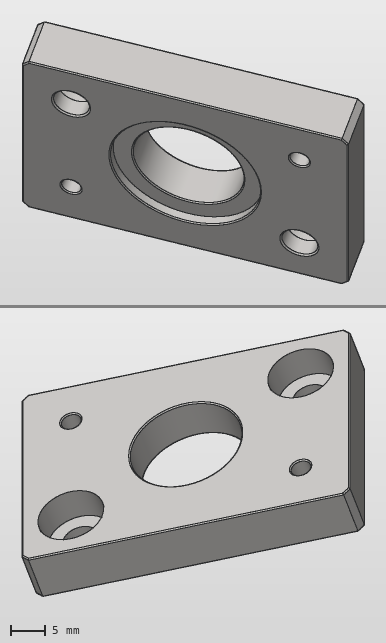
import cadquery as cq

width = 50
thickness = 8
height = 35
corner_chamfer = 1
edge_chamfer = 0.2

bore_diameter = 17
recess_diameter = 23
recess_depth = 1.5

hole_spacing_x = 35
hole_spacing_z = 20
bolt_diameter = 5.5
bolt_chamfer = 0.25
bolt_head_diameter = 10
bolt_head_depth = 5.2
pin_diameter = 3
hole_x = hole_spacing_x / 2
hole_z = hole_spacing_z / 2
bolt_places = [(-hole_x, hole_z), (hole_x, -hole_z)]
pin_places = [(hole_x, hole_z), (-hole_x, -hole_z)]

front_y = -thickness / 2
back_y = thickness / 2


def make_plate():
    """Block with clipped corners and a fine chamfer around both large faces."""
    block = cq.Workplane("XY").box(width, thickness, height)
    block = block.edges("|Y").chamfer(corner_chamfer)
    return block.faces("<Y or >Y").edges().chamfer(edge_chamfer)


def chamfered_hole(x, z, diameter, start_y, end_y, chamfer=edge_chamfer):
    """Cutter from start_y to end_y that widens by the chamfer at both ends."""
    radius = diameter / 2
    wide = radius + chamfer
    profile = [
        (0, start_y),
        (wide, start_y),
        (radius, start_y + chamfer),
        (radius, end_y - chamfer),
        (wide, end_y),
        (0, end_y),
    ]
    cutter = cq.Workplane("XY").polyline(profile).close().revolve(360, (0, 0), (0, 1))
    return cutter.translate((x, 0, z))


def make_recess():
    """Flat-bottomed cutter whose mouth has the edge chamfer."""
    radius = recess_diameter / 2
    floor_y = front_y + recess_depth
    profile = [
        (0, front_y),
        (radius + edge_chamfer, front_y),
        (radius, front_y + edge_chamfer),
        (radius, floor_y),
        (0, floor_y),
    ]
    return cq.Workplane("XY").polyline(profile).close().revolve(360, (0, 0), (0, 1))


def counterbored_hole(x, z):
    """Bolt hole from the -Y face, opening into a head counterbore in the +Y face."""
    shank = chamfered_hole(x, z, bolt_diameter, front_y, back_y, bolt_chamfer)
    head = cq.Workplane("XZ", origin=(x, back_y, z)).circle(bolt_head_diameter / 2).extrude(bolt_head_depth)
    return shank.union(head)


result = make_plate()
result = result.cut(make_recess())
result = result.cut(chamfered_hole(0, 0, bore_diameter, front_y + recess_depth, back_y))
for x, z in bolt_places:
    result = result.cut(counterbored_hole(x, z))
for x, z in pin_places:
    result = result.cut(chamfered_hole(x, z, pin_diameter, front_y, back_y))